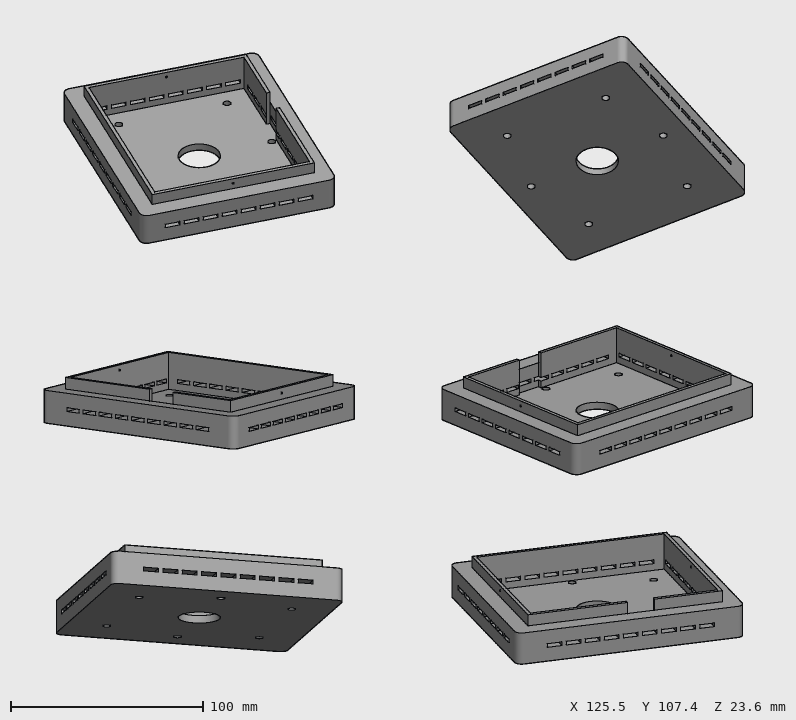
import cadquery as cq

length = 125.5
width = 107.4
base_height = 17.5
corner_radius = 4.0
floor_thickness = 4.0

total_height = 23.6
lip_length = 107.2
lip_width = 89.5
lip_thickness = 2.0
cavity_length = lip_length - 2 * lip_thickness
cavity_width = lip_width - 2 * lip_thickness

notch_width = 15.0
notch_right = -1.1

slot_length = 8.0
slot_height = 2.0
slots_along_x = 9
slots_along_y = 8
slot_row_length = 92.0
slot_pitch = (slot_row_length - slot_length) / (slots_along_x - 1)
slot_center_z = 8.8

center_hole_diameter = 22.0
mount_hole_diameter = 4.0
mount_hole_x = 41.4
mount_hole_y = 29.9
middle_hole_y = 40.0
pin_hole_diameter = 1.0
pin_hole_z = 20.7


def block(size_x, size_y, bottom, top):
    """Centred rectangular block between two heights."""
    return cq.Workplane("XY").workplane(offset=bottom).rect(size_x, size_y).extrude(top - bottom)


def make_tray():
    """Rounded base with a raised lip and an open cavity."""
    base = block(length, width, 0, base_height).edges("|Z").fillet(corner_radius)
    lip = block(lip_length, lip_width, floor_thickness, total_height)
    cavity = block(cavity_length, cavity_width, floor_thickness, total_height)
    return base.union(lip).cut(cavity)


def make_notch():
    """Opening in the rear lip, as deep as the lip is thick."""
    notch = block(notch_width, lip_thickness, floor_thickness, total_height)
    return notch.translate((notch_right - notch_width / 2, (lip_width - lip_thickness) / 2, 0))


def make_slots(plane, count, reach):
    """Row of slots running through both opposite walls."""
    return (
        cq.Workplane(plane)
        .center(0, slot_center_z)
        .rarray(slot_pitch, 1.3, count, 1)
        .rect(slot_length, slot_height)
        .extrude(reach / 2, both=True)
    )


def make_floor_holes():
    """Large centre hole and the mounting holes through the floor."""
    corner_holes = [(x, y) for x in (-mount_hole_x, mount_hole_x) for y in (-mount_hole_y, mount_hole_y)]
    middle_holes = [(0, -middle_hole_y), (0, middle_hole_y)]
    center_hole = cq.Workplane("XY").circle(center_hole_diameter / 2).extrude(floor_thickness)
    mount_holes = (
        cq.Workplane("XY")
        .pushPoints(corner_holes + middle_holes)
        .circle(mount_hole_diameter / 2)
        .extrude(floor_thickness)
    )
    return center_hole.union(mount_holes)


def make_pin_holes():
    """Pin hole through the lip at both ends."""
    return (
        cq.Workplane("YZ")
        .center(0, pin_hole_z)
        .circle(pin_hole_diameter / 2)
        .extrude(lip_length / 2, both=True)
    )


result = (
    make_tray()
    .cut(make_notch())
    .cut(make_slots("XZ", slots_along_x, width))
    .cut(make_slots("YZ", slots_along_y, length))
    .cut(make_floor_holes())
    .cut(make_pin_holes())
)